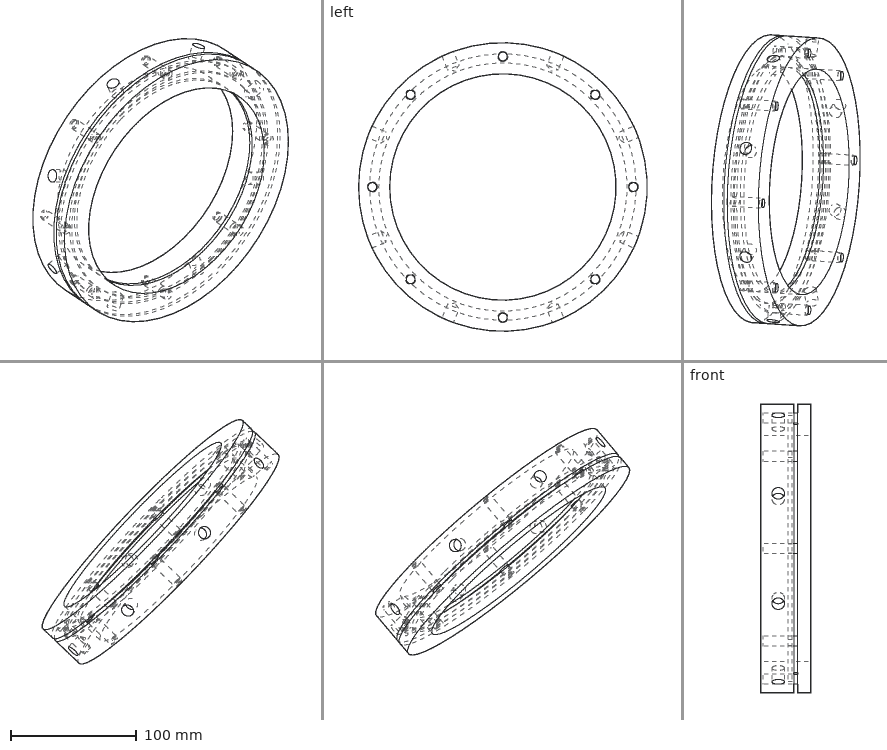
import cadquery as cq
import math

outer_diameter = 230.0
bore_diameter = 180.0
total_width = 40.0
outer_groove_x = 26.5
groove_width = 3.0
groove_depth = 16.0
bore_groove_x = 21.8

pin_count = 8
pin_circle_diameter = 208.0
pin_diameter = 8.0
pin_recess = 2.0
recess_diameter = 7.0

radial_hole_diameter = 10.0
radial_hole_depth = 12.0
radial_hole_x = 14.0
drill_point_angle = 118.0
drill_overrun = 2.3

outer_radius = outer_diameter / 2
outer_groove_floor_diameter = outer_diameter - 2 * groove_depth
bore_groove_floor_diameter = bore_diameter + 2 * groove_depth
pin_circle_radius = pin_circle_diameter / 2
pin_pitch = 360 / pin_count
pin_length = outer_groove_x + groove_width - pin_recess


def ring(outside_diameter, inside_diameter, start_x, width):
    """Flat ring centred on the X axis."""
    return (
        cq.Workplane("YZ", origin=(start_x, 0, 0))
        .circle(outside_diameter / 2)
        .circle(inside_diameter / 2)
        .extrude(width)
    )


def axial_cylinder(index, diameter, start_x, length):
    """Cylinder along X at one of the pin positions."""
    angle = math.radians(index * pin_pitch)
    y = pin_circle_radius * math.cos(angle)
    z = pin_circle_radius * math.sin(angle)
    return cq.Workplane("YZ", origin=(start_x, y, z)).circle(diameter / 2).extrude(length)


def radial_drill(index):
    """Pointed cutter for a blind radial hole midway between two pins."""
    radius = radial_hole_diameter / 2
    point_length = radius / math.tan(math.radians(drill_point_angle / 2))
    shoulder_z = outer_radius - radial_hole_depth
    top_z = outer_radius + drill_overrun
    drill = (
        cq.Workplane("XZ")
        .moveTo(0, shoulder_z - point_length)
        .lineTo(radius, shoulder_z)
        .lineTo(radius, top_z)
        .lineTo(0, top_z)
        .close()
        .revolve(360, (0, 0, 0), (0, 1, 0))
    )
    angle = (index + 0.5) * pin_pitch
    return drill.translate((radial_hole_x, 0, 0)).rotate((0, 0, 0), (1, 0, 0), angle)


def pin(index):
    """Plain pin from its recess at the -X face, across the outer groove, to the far groove wall."""
    return axial_cylinder(index, pin_diameter, pin_recess, pin_length)


def make_housing():
    """One-piece ring with two offset grooves that leave a thin flexing web between them."""
    body = ring(outer_diameter, bore_diameter, 0, total_width)
    outer_groove = ring(outer_diameter, outer_groove_floor_diameter, outer_groove_x, groove_width)
    bore_groove = ring(bore_groove_floor_diameter, bore_diameter, bore_groove_x, groove_width)
    body = body.cut(outer_groove).cut(bore_groove)
    for index in range(pin_count):
        recess = axial_cylinder(index, recess_diameter, 0, pin_recess)
        body = body.cut(recess).cut(pin(index)).cut(radial_drill(index))
    return body


housing = make_housing()
pins = [pin(index) for index in range(pin_count)]

result = cq.Compound.makeCompound([housing.val(), *[each_pin.val() for each_pin in pins]])